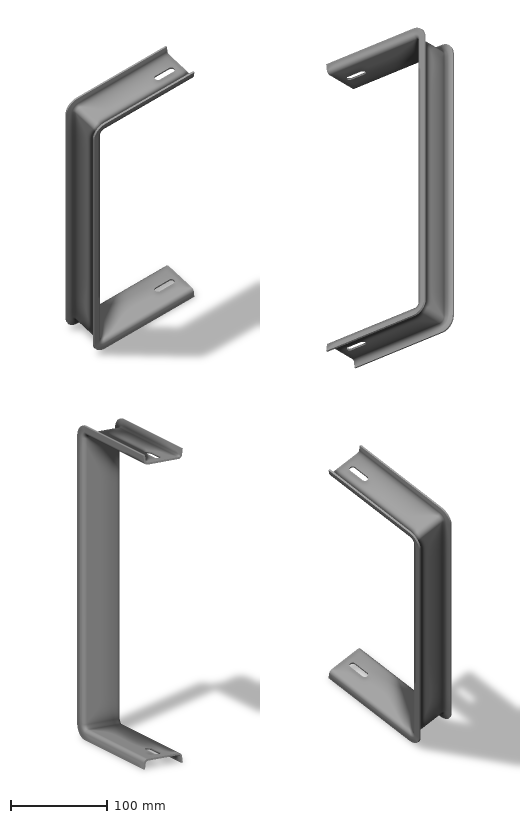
import cadquery as cq
import math

HEIGHT = 343.0
DEPTH = 133.0
WIDTH = 48.0

SHEET = 2.0
FLANGE_HEIGHT = 11.0
FLANGE_LEAN = 8.0
FOLD_INNER_RADIUS = 2.5
FOLD_OUTER_RADIUS = FOLD_INNER_RADIUS + SHEET

BEND_INNER_RADIUS = 4.0

SLOT_WIDTH = 7.0
SLOT_LENGTH = 24.7
SLOT_END_MARGIN = 8.2

LEG_INNER_Z = HEIGHT / 2 - FLANGE_HEIGHT
UPRIGHT_INNER_Y = FLANGE_HEIGHT


def bracket_path():
    """Line along the inner face of the web, from the upper leg tip to the lower one."""
    bend_y = UPRIGHT_INNER_Y + BEND_INNER_RADIUS
    bend_z = LEG_INNER_Z - BEND_INNER_RADIUS
    return (
        cq.Workplane("YZ")
        .moveTo(DEPTH, LEG_INNER_Z)
        .lineTo(bend_y, LEG_INNER_Z)
        .tangentArcPoint((UPRIGHT_INNER_Y, bend_z), relative=False)
        .lineTo(UPRIGHT_INNER_Y, -bend_z)
        .tangentArcPoint((bend_y, -LEG_INNER_Z), relative=False)
        .lineTo(DEPTH, -LEG_INNER_Z)
    )


def channel_section():
    """Open channel section at the tip of the upper leg, with flanges leaning outward."""
    lean_sin = math.sin(math.radians(FLANGE_LEAN))
    lean_cos = math.cos(math.radians(FLANGE_LEAN))
    straight = (FLANGE_HEIGHT - FOLD_OUTER_RADIUS + FOLD_INNER_RADIUS * lean_sin) / lean_cos
    fold_x = WIDTH / 2 - FOLD_OUTER_RADIUS * lean_cos - straight * lean_sin

    def flange_point(radius, distance):
        """Point on a flange face, at a distance past the end of its fold arc."""
        x = fold_x + radius * lean_cos + distance * lean_sin
        z = FOLD_OUTER_RADIUS - radius * lean_sin + distance * lean_cos
        return x, z

    outer_root = flange_point(FOLD_OUTER_RADIUS, 0)
    outer_rim = flange_point(FOLD_OUTER_RADIUS, straight)
    inner_rim = flange_point(FOLD_INNER_RADIUS, straight)
    inner_root = flange_point(FOLD_INNER_RADIUS, 0)

    def mirrored(point):
        return -point[0], point[1]

    return (
        cq.Workplane("XZ", origin=(0, DEPTH, LEG_INNER_Z))
        .moveTo(-fold_x, 0)
        .lineTo(fold_x, 0)
        .tangentArcPoint(outer_root, relative=False)
        .lineTo(*outer_rim)
        .lineTo(*inner_rim)
        .lineTo(*inner_root)
        .radiusArc((fold_x, SHEET), FOLD_INNER_RADIUS)
        .lineTo(-fold_x, SHEET)
        .radiusArc(mirrored(inner_root), FOLD_INNER_RADIUS)
        .lineTo(*mirrored(inner_rim))
        .lineTo(*mirrored(outer_rim))
        .lineTo(*mirrored(outer_root))
        .tangentArcPoint((-fold_x, 0), relative=False)
        .close()
    )


def leg_slots():
    """Cutter for the aligned slots through both legs."""
    slot_center_y = DEPTH - SLOT_END_MARGIN - SLOT_LENGTH / 2
    return (
        cq.Workplane("XY")
        .center(0, slot_center_y)
        .slot2D(SLOT_LENGTH, SLOT_WIDTH, angle=90)
        .extrude(HEIGHT / 2, both=True)
    )


result = channel_section().sweep(bracket_path()).cut(leg_slots())